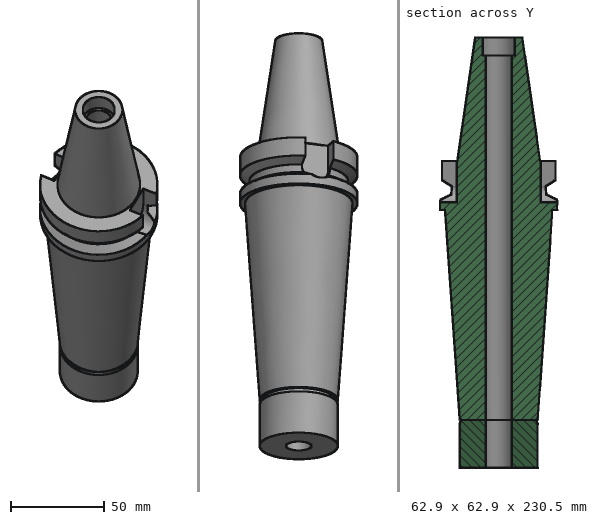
import cadquery as cq

total_height = 230.5
nut_height = 25.5
nut_chamfer_height = 2.0
nut_face_gap = 0.5
taper_length = 65.5
taper_neck_height = 0.7
flange_bottom_z = 138.0
body_neck_height = 0.5
lower_rim_height = 5.5
groove_lower_slope = 2.8
groove_floor_height = 4.4
groove_upper_slope = 3.2

taper_small_radius = 12.7
taper_large_radius = 22.1
flange_radius = 31.45
groove_radius = 26.5
body_top_radius = 28.8
body_bottom_radius = 21.0
nut_radius = 21.0
nut_top_radius = 20.3
bore_radius = 7.0
counterbore_radius = 8.5
counterbore_depth = 9.7

slot_width = 16.1
slot_floor_x = 22.5
slot_bottom_z = 142.2

taper_base_z = total_height - taper_length
flange_top_z = taper_base_z - taper_neck_height
rim_top_z = flange_bottom_z + lower_rim_height
groove_floor_z = rim_top_z + groove_lower_slope
groove_ceiling_z = groove_floor_z + groove_floor_height
upper_rim_z = groove_ceiling_z + groove_upper_slope
body_top_z = flange_bottom_z - body_neck_height
nut_shoulder_z = nut_height - nut_chamfer_height


def revolve_outline(points):
    """Revolve a closed (radius, height) outline about the Z axis."""
    return cq.Workplane("XZ").polyline(points).close().revolve(360, (0, 0, 0), (0, 1, 0))


def drive_slot(side):
    """Round-bottomed slot cutter on the +X (side = 1) or -X (side = -1) flank."""
    slot_radius = slot_width / 2
    arc_center_z = slot_bottom_z + slot_radius
    cutter = (
        cq.Workplane("YZ")
        .moveTo(-slot_radius, flange_top_z)
        .lineTo(-slot_radius, arc_center_z)
        .threePointArc((0, slot_bottom_z), (slot_radius, arc_center_z))
        .lineTo(slot_radius, flange_top_z)
        .close()
        .extrude(side * flange_radius)
    )
    return cutter.translate((side * slot_floor_x, 0, 0))


def make_holder():
    """Tapered shank, grooved flange and conical body with a stepped bore."""
    collar_z = nut_height + nut_face_gap
    counterbore_z = total_height - counterbore_depth
    holder = revolve_outline([
        (bore_radius, nut_height),
        (nut_top_radius, nut_height),
        (nut_top_radius, collar_z),
        (body_bottom_radius, collar_z),
        (body_top_radius, body_top_z),
        (body_top_radius, flange_bottom_z),
        (flange_radius, flange_bottom_z),
        (flange_radius, rim_top_z),
        (groove_radius, groove_floor_z),
        (groove_radius, groove_ceiling_z),
        (flange_radius, upper_rim_z),
        (flange_radius, flange_top_z),
        (taper_large_radius, flange_top_z),
        (taper_large_radius, taper_base_z),
        (taper_small_radius, total_height),
        (counterbore_radius, total_height),
        (counterbore_radius, counterbore_z),
        (bore_radius, counterbore_z),
    ])
    for side in (-1, 1):
        holder = holder.cut(drive_slot(side))
    return holder


def make_nut():
    """Clamping nut with a chamfered upper edge and a through bore."""
    return revolve_outline([
        (bore_radius, 0),
        (nut_radius, 0),
        (nut_radius, nut_shoulder_z),
        (nut_top_radius, nut_height),
        (bore_radius, nut_height),
    ])


holder = make_holder()
nut = make_nut()
result = cq.Compound.makeCompound([holder.val(), nut.val()])